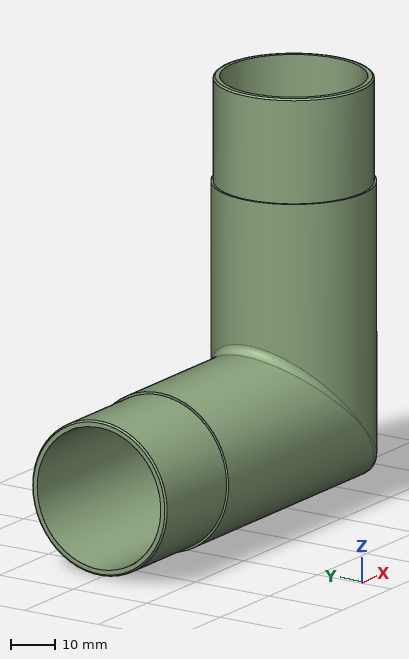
import cadquery as cq
import math

overall_length = 98.85
body_diameter = 37.7
spigot_diameter = 36.6
bore_diameter = 33.6
spigot_length = 24.8
rim_chamfer = 0.4
mitre_fillet = 2.0
join_tolerance = 0.001

corner_x = overall_length - body_diameter / 2
leg_length = corner_x
corner_z = body_diameter / 2
corner = (corner_x, 0, corner_z)

inward = (-1, 0, 1)
mitre_plane = cq.Plane(origin=corner, xDir=inward, normal=(1, 0, 1))


def both_legs(leg):
    """Join a leg along X with its mirror image across the mitre plane."""
    axis_end = (corner_x - 1, 0, corner_z + 1)
    return leg.union(leg.rotate(corner, axis_end, 180))


def rolling_ball(radius):
    """Core and ring left by a ball whose centre lies radius away from both tube axes."""
    major_radius = radius * math.sqrt(2)
    ring = (
        cq.Workplane("XZ", origin=(corner_x - radius, 0, corner_z + radius))
        .circle(mitre_fillet)
        .sweep(cq.Workplane(mitre_plane).ellipse(major_radius, radius))
    )
    core = cq.Workplane(mitre_plane).ellipse(major_radius, radius).extrude(2 * mitre_fillet, both=True)
    return core, ring


def contact_wedge(tube_radius, ball_path_radius, side):
    """Wedge at the mitre reaching the ball's contact lines; side is 1 inside the bend, -1 outside."""
    reach = 1.2
    along = side * reach * ball_path_radius
    across = side * reach * tube_radius
    tip = max(along, across, key=abs)
    return (
        cq.Workplane("XZ", origin=corner)
        .polyline([(0, 0), (-along, across), (-tip, tip), (-across, along)])
        .close()
        .extrude(2 * tube_radius, both=True)
    )


def trimmed_leg(radius):
    """Leg along X, from its open end up to the ball's contact lines around the mitre."""
    inner_path = radius + mitre_fillet
    outer_path = radius - mitre_fillet
    return (
        cq.Workplane("YZ", origin=(0, 0, corner_z))
        .circle(radius)
        .extrude(leg_length + radius)
        .cut(
            cq.Workplane("XZ", origin=corner)
            .polyline([
                (0, 0),
                (-2 * inner_path, 2 * radius),
                (2 * radius, 2 * radius),
                (2 * radius, -2 * radius),
                (2 * outer_path, -2 * radius),
            ])
            .close()
            .extrude(2 * radius, both=True)
        )
    )


def rounded_elbow(radius):
    """Solid elbow with its mitre filleted inside the bend and rounded outside it."""
    inner_path = radius + mitre_fillet
    inner_core, inner_ring = rolling_ball(inner_path)
    fillet = contact_wedge(radius, inner_path, 1).intersect(inner_core.cut(inner_ring))

    outer_path = radius - mitre_fillet
    outer_core, outer_ring = rolling_ball(outer_path)
    rounding = contact_wedge(radius, outer_path, -1).intersect(outer_core.union(outer_ring))

    return both_legs(trimmed_leg(radius)).union(fillet, tol=join_tolerance).union(rounding, tol=join_tolerance)


def spigot_relief():
    """Material around the X leg's spigot, leaving a chamfered rim."""
    spigot_radius = spigot_diameter / 2
    stock = cq.Workplane("YZ", origin=(0, 0, corner_z)).circle(body_diameter).extrude(spigot_length)
    spigot = (
        cq.Workplane("YZ", origin=(0, 0, corner_z))
        .circle(spigot_radius)
        .extrude(spigot_length)
        .faces("<X")
        .chamfer(rim_chamfer)
    )
    return stock.cut(spigot)


body = rounded_elbow(body_diameter / 2).cut(both_legs(spigot_relief()))
result = body.cut(rounded_elbow(bore_diameter / 2))